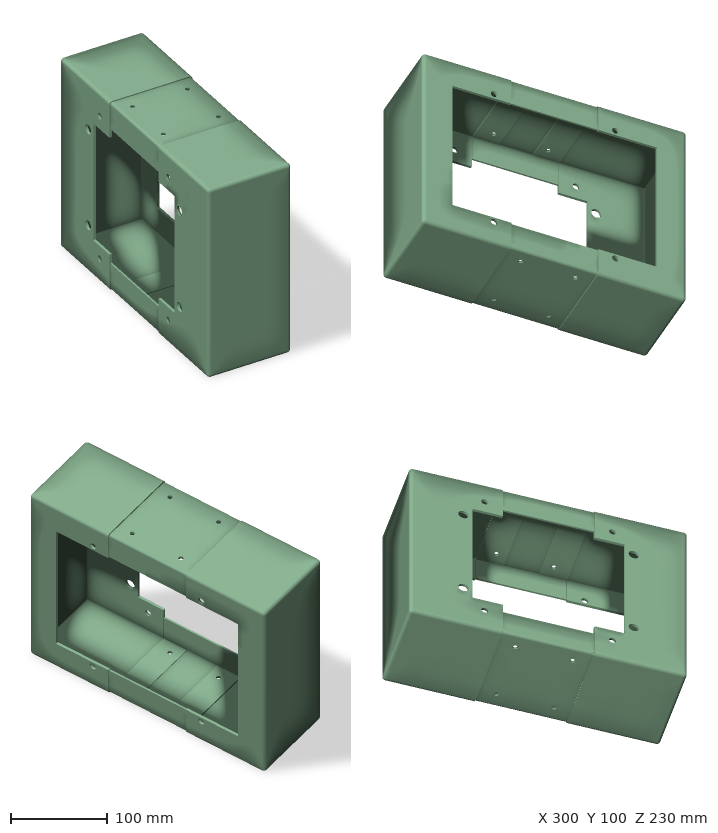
import cadquery as cq

length = 300.0
depth = 100.0
height = 230.0

cap_wall = 3.0
cap_bend_radius = 4.0
bridge_inset = 1.0
bridge_wall = cap_wall - bridge_inset
bridge_bend_radius = cap_bend_radius - bridge_inset
inner_bend_radius = cap_bend_radius - cap_wall
cap_length = 100.5
bridge_gap = 0.5
bridge_length = length - 2 * (cap_length + bridge_gap)

front_opening_length = 164.0
front_tab_height = 43.8
rear_margin = 34.0
bridge_flange_height = 33.0

tab_hole_diameter = 7.5
tab_hole_spacing_x = 138.0
tab_hole_spacing_z = 174.0
mount_hole_diameter = 11.0
mount_hole_spacing_x = 184.0
mount_hole_spacing_z = 117.0

strip_width = 29.7
strip_thickness = 1.0
strip_length = depth - 2 * cap_bend_radius
bridge_hole_diameter = 5.0
bridge_hole_spacing_x = 62.0
bridge_hole_spacing_y = 66.0


def box(size_x, size_y, size_z):
    """Box centred on the middle of the frame."""
    return cq.Workplane("XY").box(size_x, size_y, size_z)


def holes_along_y(spacing_x, spacing_z, diameter):
    """Four cylinders running through the whole depth."""
    return (
        cq.Workplane("XZ")
        .rect(spacing_x, spacing_z, forConstruction=True)
        .vertices()
        .circle(diameter / 2)
        .extrude(depth, both=True)
    )


def holes_along_z():
    """Four cylinders running through both bridges and their strips."""
    return (
        cq.Workplane("XY")
        .rect(bridge_hole_spacing_x, bridge_hole_spacing_y, forConstruction=True)
        .vertices()
        .circle(bridge_hole_diameter / 2)
        .extrude(height, both=True)
    )


def hollow_frame():
    """Closed shell with rounded edges, opened at the front and the rear."""
    outside = box(length, depth, height).edges().fillet(cap_bend_radius)
    inside = box(length - 2 * cap_wall, depth - 2 * cap_wall, height - 2 * cap_wall)
    inside = inside.edges().fillet(inner_bend_radius)
    front_opening = box(front_opening_length, depth, height - 2 * front_tab_height)
    rear_opening = box(length - 2 * rear_margin, depth, height - 2 * rear_margin)
    return (
        outside.cut(inside)
        .cut(front_opening.translate((0, -depth / 2, 0)))
        .cut(rear_opening.translate((0, depth / 2, 0)))
    )


def cap(side):
    """End cap on the -X (side = -1) or +X (side = 1) end."""
    end_region = box(cap_length, depth, height).translate((side * (length - cap_length) / 2, 0, 0))
    return (
        hollow_frame()
        .intersect(end_region)
        .cut(holes_along_y(tab_hole_spacing_x, tab_hole_spacing_z, tab_hole_diameter))
        .cut(holes_along_y(mount_hole_spacing_x, mount_hole_spacing_z, mount_hole_diameter))
    )


def bridge(side):
    """Channel between the caps at the bottom (side = -1) or top (side = 1)."""
    outer_depth = depth - 2 * bridge_inset
    outer_height = height - 2 * bridge_inset
    outside = box(bridge_length, outer_depth, outer_height).edges("|X").fillet(bridge_bend_radius)
    inside = box(bridge_length, outer_depth - 2 * bridge_wall, outer_height - 2 * bridge_wall)
    inside = inside.edges("|X").fillet(inner_bend_radius)
    channel_region = box(bridge_length, depth, bridge_flange_height)
    channel_region = channel_region.translate((0, 0, side * (height - bridge_flange_height) / 2))
    return outside.cut(inside).intersect(channel_region).cut(holes_along_z())


def strip(side_x, side_z):
    """Flat strip lying on a bridge's inner face, flush with one bridge end."""
    center_x = side_x * (bridge_length - strip_width) / 2
    center_z = side_z * (height / 2 - cap_wall - strip_thickness / 2)
    blank = box(strip_width, strip_length, strip_thickness)
    return blank.translate((center_x, 0, center_z)).cut(holes_along_z())


sides = (-1, 1)
caps = [cap(side) for side in sides]
bridges = [bridge(side) for side in sides]
strips = [strip(side_x, side_z) for side_x in sides for side_z in sides]

result = cq.Compound.makeCompound([body.val() for body in caps + bridges + strips])